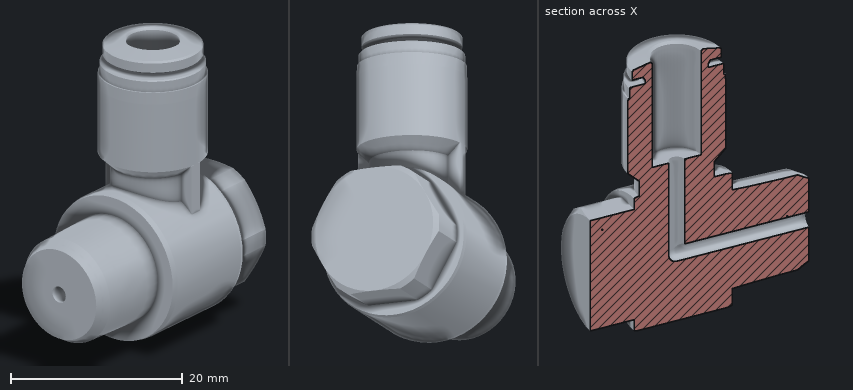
import cadquery as cq
import math


overall_length = 28.8
overall_height = 35.9

barrel_radius = 18.2 / 2
barrel_front_y = -7.35
barrel_back_y = 5.65
barrel_rim_radius = barrel_radius - 0.15
barrel_front_bevel = 0.75
barrel_back_bevel = 0.45

thread_front_y = -17.4
thread_root_radius = 6.7
thread_end_radius = 6.45
thread_tip_radius = 5.6
thread_tip_length = 1.5

hex_across_flats = 14.97
hex_corner_radius = 8.1
hex_back_y = thread_front_y + overall_length
hex_bevel_angle = 30

port_top_z = overall_height - barrel_radius
port_radius = 12.95 / 2
port_neck_radius = 5.0
port_cone_top_z = 12.53
port_cone_bottom_z = 11.1
sleeve_bottom_z = 21.15
sleeve_top_z = 22.6
sleeve_top_radius = port_radius - 0.05
collar_radius = 12.5 / 2
collar_top_z = 24.1
collar_bevel = 0.15
stem_radius = 8.35 / 2
stem_flare = 0.25
stem_flare_height = 0.43
cap_radius = 11.8 / 2
cap_bottom_z = 24.95
cap_edge_drop = 0.45
cap_edge_round = 0.2

bore_radius = 6.35 / 2
bore_lip = 0.3
bore_floor_z = port_cone_top_z
passage_radius = 2.0 / 2
rib_thickness = 1.58


def revolve_about_y(profile):
    """Turn a closed (radius, y) profile about the Y axis."""
    return cq.Workplane("XY").polyline(profile).close().revolve(360, (0, 0, 0), (0, 1, 0))


def cylinder_along_y(radius, start_y, end_y):
    return revolve_about_y([(0, start_y), (radius, start_y), (radius, end_y), (0, end_y)])


def make_barrel():
    return revolve_about_y([
        (0, barrel_front_y),
        (barrel_rim_radius, barrel_front_y),
        (barrel_radius, barrel_front_y + barrel_front_bevel),
        (barrel_radius, barrel_back_y - barrel_back_bevel),
        (barrel_rim_radius, barrel_back_y),
        (0, barrel_back_y),
    ])


def make_thread():
    return revolve_about_y([
        (0, thread_front_y),
        (thread_tip_radius, thread_front_y),
        (thread_end_radius, thread_front_y + thread_tip_length),
        (thread_root_radius, barrel_front_y),
        (0, barrel_front_y),
    ])


def make_hex_head():
    """Hexagon with flats on top and bottom, its corners turned round and bevelled at the back."""
    across_corners = hex_across_flats / math.cos(math.pi / 6)
    length = hex_back_y - barrel_back_y
    hexagon = (
        cq.Workplane("XZ", origin=(0, hex_back_y, 0))
        .polygon(6, across_corners)
        .extrude(length)
    )
    end_radius = hex_across_flats / 2
    bevel_length = (hex_corner_radius - end_radius) * math.tan(math.radians(hex_bevel_angle))
    turned_envelope = revolve_about_y([
        (0, barrel_back_y),
        (hex_corner_radius, barrel_back_y),
        (hex_corner_radius, hex_back_y - bevel_length),
        (end_radius, hex_back_y),
        (0, hex_back_y),
    ])
    return hexagon.intersect(turned_envelope)


def make_port():
    """Port body, sleeve, collar, stem and release cap in one turned profile."""
    cap_edge_z = port_top_z - cap_edge_drop
    return (
        cq.Workplane("XZ")
        .moveTo(0, 0)
        .lineTo(port_neck_radius, 0)
        .lineTo(port_neck_radius, port_cone_bottom_z)
        .lineTo(port_radius, port_cone_top_z)
        .lineTo(port_radius, sleeve_bottom_z)
        .lineTo(sleeve_top_radius, sleeve_top_z)
        .lineTo(collar_radius, sleeve_top_z)
        .lineTo(collar_radius, collar_top_z - collar_bevel)
        .lineTo(collar_radius - collar_bevel, collar_top_z)
        .lineTo(stem_radius, collar_top_z)
        .lineTo(stem_radius, cap_bottom_z - stem_flare_height)
        .lineTo(stem_radius + stem_flare, cap_bottom_z)
        .lineTo(cap_radius, cap_bottom_z)
        .lineTo(cap_radius, cap_edge_z - cap_edge_round)
        .lineTo(cap_radius - cap_edge_round, cap_edge_z)
        .lineTo(bore_radius + bore_lip, port_top_z)
        .lineTo(0, port_top_z)
        .close()
        .revolve(360, (0, 0, 0), (0, 1, 0))
    )


def make_ribs():
    """Plate under the port body that stands out as a rib on both sides of the neck."""
    return cq.Workplane("XY").rect(2 * port_radius, rib_thickness).extrude(port_cone_top_z)


def make_bore():
    return (
        cq.Workplane("XZ")
        .moveTo(0, bore_floor_z)
        .lineTo(bore_radius, bore_floor_z)
        .lineTo(bore_radius, port_top_z - bore_lip)
        .lineTo(bore_radius + bore_lip, port_top_z)
        .lineTo(0, port_top_z)
        .close()
        .revolve(360, (0, 0, 0), (0, 1, 0))
    )


def make_passages():
    """Two drillings that meet in a ball-shaped end where the barrel and port axes cross."""
    thread_passage = cylinder_along_y(passage_radius, thread_front_y, 0)
    port_passage = cq.Workplane("XY").circle(passage_radius).extrude(bore_floor_z)
    ball_end = cq.Workplane("XY").sphere(passage_radius)
    return thread_passage.union(port_passage).union(ball_end)


outside = make_barrel().union(make_thread()).union(make_hex_head()).union(make_port()).union(make_ribs())
result = outside.cut(make_bore()).cut(make_passages())